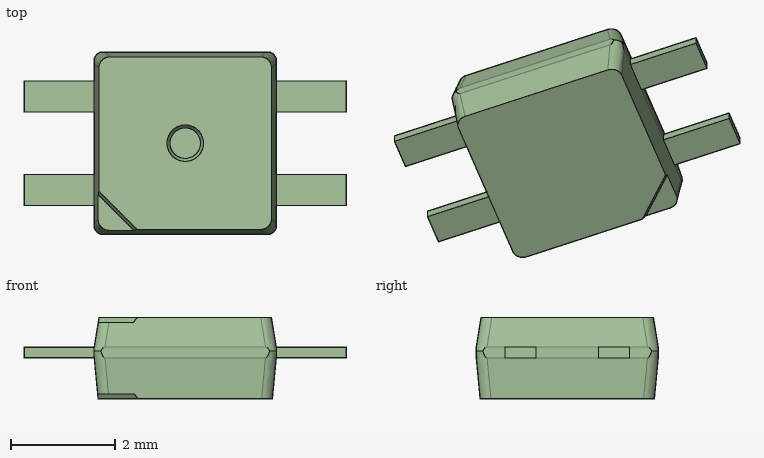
import cadquery as cq
import math

overall_length = 6.2
body_side = 3.5
lead_thickness = 0.21
lead_width = 0.6
lead_pitch = 1.8
top_height = 0.57
bottom_height = 0.79
top_inset = 0.09
bottom_inset = 0.075
corner_radius = 0.21
recess_depth = 0.1
recess_draft = math.radians(30)
dimple_diameter = 0.7
notch_reach = 0.92

top_z = lead_thickness / 2 + top_height
bottom_z = -lead_thickness / 2 - bottom_height
top_slope = top_inset / top_height
bottom_slope = bottom_inset / bottom_height
parting_z = lead_thickness / 2 * (top_slope - bottom_slope) / (top_slope + bottom_slope)
parting_overhang = top_slope * (lead_thickness / 2 - parting_z)
parting_side = body_side + 2 * parting_overhang
recess_taper = recess_depth * math.tan(recess_draft)


def tapered_half(end_z, inset):
    """Rounded pyramid frustum from the parting plane to an end face."""
    end_side = body_side - 2 * inset
    half = (
        cq.Workplane("XY", origin=(0, 0, parting_z))
        .rect(parting_side, parting_side)
        .workplane(offset=end_z - parting_z)
        .rect(end_side, end_side)
        .loft(ruled=True)
    )
    return half.edges("not(|X or |Y)").fillet(corner_radius)


def body():
    """Two tapers meeting at the parting plane, trimmed to a vertical band."""
    halves = tapered_half(top_z, top_inset).union(tapered_half(bottom_z, bottom_inset))
    height = top_z - bottom_z
    trim = cq.Workplane("XY", origin=(0, 0, (top_z + bottom_z) / 2)).box(body_side, body_side, height)
    return halves.intersect(trim)


def corner_notch(face_z, inward):
    """Triangular cutter at the -X, -Y corner; inward is the Z sign into the body."""
    corner = -body_side / 2
    leg_taper = recess_taper * math.sqrt(2)

    def triangle(plane, reach):
        points = [(corner, corner), (corner + reach, corner), (corner, corner + reach)]
        return plane.polyline(points).close()

    mouth = triangle(cq.Workplane("XY", origin=(0, 0, face_z)), notch_reach)
    floor_plane = mouth.workplane(offset=inward * recess_depth, origin=(0, 0, face_z))
    return triangle(floor_plane, notch_reach - leg_taper).loft(ruled=True)


def dimple():
    """Conical cutter in the middle of the top face."""
    mouth_radius = dimple_diameter / 2
    return (
        cq.Workplane("XY", origin=(0, 0, top_z))
        .circle(mouth_radius)
        .workplane(offset=-recess_depth)
        .circle(mouth_radius - recess_taper)
        .loft(ruled=True)
    )


def leads():
    """Two straight bars through the body, forming four leads."""
    return (
        cq.Workplane("XY")
        .rarray(0.06, lead_pitch, 1, 2)
        .box(overall_length, lead_width, lead_thickness)
    )


result = (
    body()
    .cut(dimple())
    .cut(corner_notch(top_z, -1))
    .cut(corner_notch(bottom_z, 1))
    .union(leads())
)